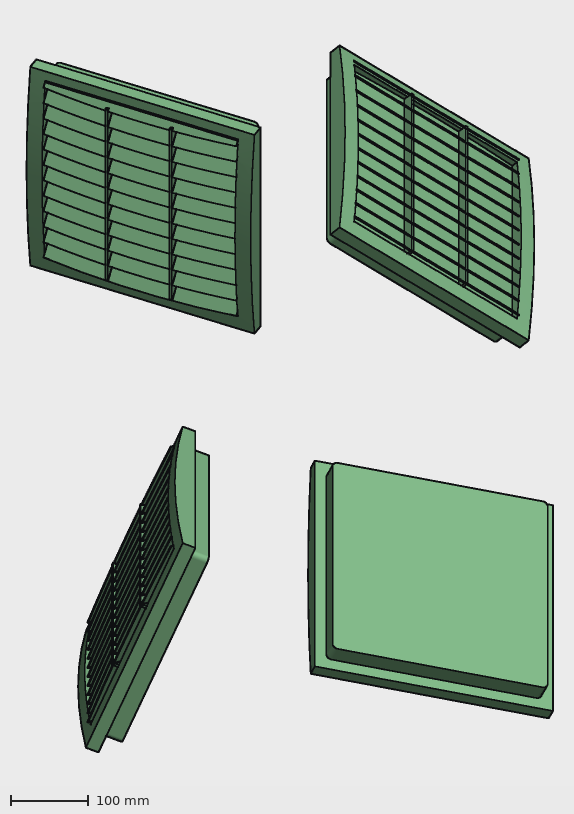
import cadquery as cq
import math


FRAME_SIZE = 322.0
TOTAL_DEPTH = 54.0
CROWN_RISE = 11.0
RIM_DEPTH = 17.7
FLANGE_BACK = CROWN_RISE + RIM_DEPTH

HOUSING_SIZE = 291.0
HOUSING_CORNER_RADIUS = 7.0

WINDOW_SIZE = 277.0
WINDOW_DEPTH = 14.0
BOW = 3.5

SLAT_COUNT = 12
SLAT_TILT = 53.0
SLAT_THICKNESS = 1.3
TOP_TIP_Z = 135.2
BOTTOM_TIP_Z = -139.7
SLAT_PITCH = (TOP_TIP_Z - BOTTOM_TIP_Z) / (SLAT_COUNT - 1)
BACK_OVERLAP = 1.0

COLUMN_COUNT = 3
BAR_WIDTH = 3.5


def make_frame():
    """Square flange with a front face bowed about the X axis."""
    half = FRAME_SIZE / 2
    return (
        cq.Workplane("YZ")
        .moveTo(FLANGE_BACK, -half)
        .lineTo(CROWN_RISE, -half)
        .threePointArc((0, 0), (CROWN_RISE, half))
        .lineTo(FLANGE_BACK, half)
        .close()
        .extrude(half, both=True)
    )


def make_housing():
    """Box behind the flange with rounded corners."""
    housing_depth = TOTAL_DEPTH - FLANGE_BACK
    return (
        cq.Workplane("XZ", origin=(0, FLANGE_BACK, 0))
        .rect(HOUSING_SIZE, HOUSING_SIZE)
        .extrude(-housing_depth)
        .edges("|Y")
        .fillet(HOUSING_CORNER_RADIUS)
    )


def make_window():
    """Blind opening whose back wall is bowed about the Z axis."""
    half = WINDOW_SIZE / 2
    wall_at_side = WINDOW_DEPTH + BOW
    return (
        cq.Workplane("XY")
        .moveTo(-half, 0)
        .lineTo(-half, wall_at_side)
        .threePointArc((0, WINDOW_DEPTH), (half, wall_at_side))
        .lineTo(half, 0)
        .close()
        .extrude(half, both=True)
    )


def make_slat(tip_z):
    """Tilted plate with a bowed front edge; its upper face meets Y = 0 at tip_z."""
    half = WINDOW_SIZE / 2
    tilt = math.radians(SLAT_TILT)
    tip_bow = BOW / math.cos(tilt)
    length = (WINDOW_DEPTH + BOW + BACK_OVERLAP) / math.cos(tilt)
    upper_face = cq.Plane(
        origin=(0, 0, tip_z),
        xDir=(1, 0, 0),
        normal=(0, -math.sin(tilt), math.cos(tilt)),
    )
    return (
        cq.Workplane(upper_face)
        .moveTo(-half, tip_bow)
        .threePointArc((0, 0), (half, tip_bow))
        .lineTo(half, length)
        .lineTo(-half, length)
        .close()
        .extrude(-SLAT_THICKNESS)
    )


def make_bar(x):
    """Upright bar from the foremost plane into the back wall."""
    bar_depth = WINDOW_DEPTH + BACK_OVERLAP
    bar = cq.Workplane("XY").box(BAR_WIDTH, bar_depth, WINDOW_SIZE)
    return bar.translate((x, bar_depth / 2, 0))


result = make_frame().union(make_housing()).cut(make_window())

for index in range(SLAT_COUNT):
    result = result.union(make_slat(TOP_TIP_Z - index * SLAT_PITCH))

column_width = WINDOW_SIZE / COLUMN_COUNT
for index in range(1, COLUMN_COUNT):
    result = result.union(make_bar(index * column_width - WINDOW_SIZE / 2))

result = result.translate((0, -TOTAL_DEPTH / 2, 0))